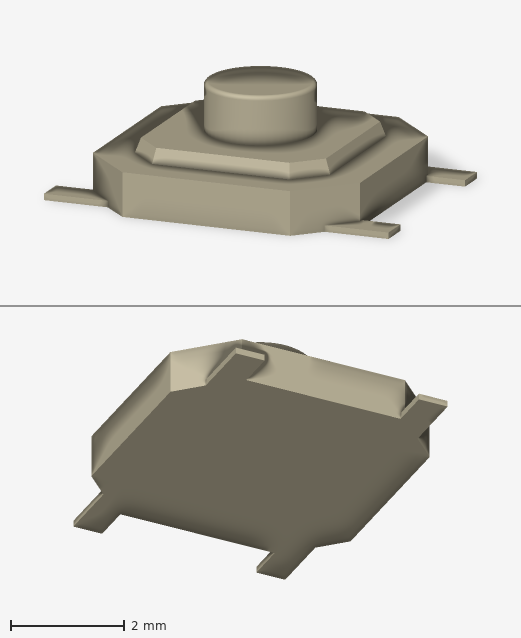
import cadquery as cq
import math

BODY_SIDE = 5.1
BODY_HEIGHT = 0.82
BODY_CORNER_CUT = 0.95

COVER_BASE_SIDE = 3.73
COVER_TOP_SIDE = 3.535
COVER_TOP_Z = 1.1
COVER_CORNER_CUT = 0.55

BUTTON_DIAMETER = 2.01
BUTTON_TOP_Z = 2.0
BUTTON_EDGE_RADIUS = 0.08

LEAD_SPAN = 6.58
LEAD_WIDTH = 0.565
LEAD_THICKNESS = 0.12
LEAD_SPACING = 3.6


def cut_corner_square(side, corner_cut, base_z):
    """Closed outline of a centred square with its four corners cut at 45 degrees."""
    half_side = side / 2
    half_flat = half_side - corner_cut
    points = [
        (half_side, half_flat),
        (half_flat, half_side),
        (-half_flat, half_side),
        (-half_side, half_flat),
        (-half_side, -half_flat),
        (-half_flat, -half_side),
        (half_flat, -half_side),
        (half_side, -half_flat),
    ]
    return cq.Workplane("XY").workplane(offset=base_z).polyline(points).close()


def make_body():
    return cut_corner_square(BODY_SIDE, BODY_CORNER_CUT, 0).extrude(BODY_HEIGHT)


def make_cover():
    height = COVER_TOP_Z - BODY_HEIGHT
    inset = (COVER_BASE_SIDE - COVER_TOP_SIDE) / 2
    draft_angle = math.degrees(math.atan2(inset, height))
    outline = cut_corner_square(COVER_BASE_SIDE, COVER_CORNER_CUT, BODY_HEIGHT)
    return outline.extrude(height, taper=draft_angle)


def make_button():
    return (
        cq.Workplane("XY")
        .workplane(offset=COVER_TOP_Z)
        .circle(BUTTON_DIAMETER / 2)
        .extrude(BUTTON_TOP_Z - COVER_TOP_Z)
        .faces(">Z")
        .edges()
        .fillet(BUTTON_EDGE_RADIUS)
    )


def make_leads():
    centres = [(0, -LEAD_SPACING / 2), (0, LEAD_SPACING / 2)]
    return (
        cq.Workplane("XY")
        .pushPoints(centres)
        .rect(LEAD_SPAN, LEAD_WIDTH)
        .extrude(LEAD_THICKNESS)
    )


result = make_body().union(make_cover()).union(make_button()).union(make_leads())